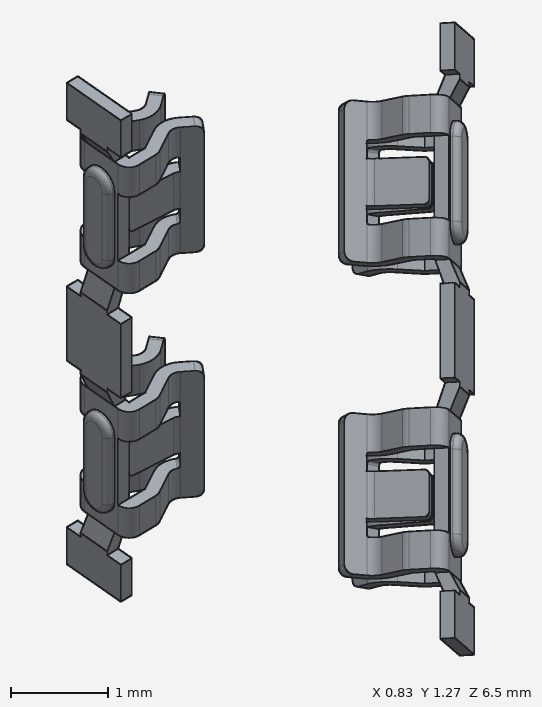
import cadquery as cq
import math

total_length = 6.5
strip_width = 0.82
total_depth = 1.27
sheet = 0.155

end_plate_length = 0.5
middle_plate_length = 1.0
neck_width = 0.4
neck_fold_drop = 0.05

clip_pitch = 3.3
clip_height = 1.7
web_offset = 0.105
web_inner_y = web_offset + sheet
web_half_width = strip_width / 2 - sheet
window_height = 0.9
window_corner_radius = 0.03

lower_bend_y = 0.49
waist_angle = 29.0
waist_length = 0.29
waist_radius = 0.14
flare_angle = 37.0
flare_corner_radius = 0.1

tab_angle = 5.0
tab_end_y = 0.33
tab_height = 0.5
tab_corner_radius = 0.05

bead_length = 1.3
bead_width = 0.4
bead_round = 0.08


def polar(center, radius, angle):
    """Point at a radius and an angle (degrees from +X) around a center in the XY plane."""
    turn = math.radians(angle)
    return (center[0] + radius * math.cos(turn), center[1] + radius * math.sin(turn))


lower_bend_center = (-web_half_width, lower_bend_y)
web_bend_center = (-web_half_width, web_inner_y)
waist_outer_start = polar(lower_bend_center, sheet, 180 - waist_angle)
waist_outer_end = polar(waist_outer_start, waist_length, 90 - waist_angle)
waist_center = polar(waist_outer_end, waist_radius, 180 - waist_angle)
waist_inner_radius = waist_radius + sheet


def plate(z_bottom, length):
    """Flat plate of full strip width, with its outer face at Y = 0."""
    panel = cq.Workplane("XY").box(strip_width, sheet, length, (True, False, False))
    return panel.translate((0, 0, z_bottom))


def neck(z_plate, z_clip):
    """Cranked link from the edge of a plate to the edge of a clip web."""
    fold_z = z_plate + math.copysign(neck_fold_drop, z_clip - z_plate)
    outline = [(0, z_plate), (sheet, z_plate), (web_inner_y, z_clip), (web_offset, z_clip), (0, fold_z)]
    return cq.Workplane("YZ").polyline(outline).close().extrude(neck_width / 2, both=True)


def web():
    """Flat panel between the two arms, set back from the plates."""
    panel = cq.Workplane("XY").box(2 * web_half_width, sheet, clip_height, (True, False, True))
    return panel.translate((0, web_offset, 0))


def bead():
    """Obround bead with a rounded rim, reaching from Y = 0 to the web."""
    body = cq.Workplane("XZ", origin=(0, web_offset, 0)).slot2D(bead_length, bead_width, 90).extrude(web_offset)
    return body.faces("<Y").edges().fillet(bead_round)


def arm_strip():
    """Curved arm from the web edge up to the root of the flare, over the full clip height."""
    web_bend_middle = 225
    return (
        cq.Workplane("XY")
        .moveTo(-web_half_width, web_offset)
        .threePointArc(polar(web_bend_center, sheet, web_bend_middle), (-strip_width / 2, web_inner_y))
        .lineTo(-strip_width / 2, lower_bend_y)
        .threePointArc(polar(lower_bend_center, sheet, 180 - waist_angle / 2), waist_outer_start)
        .lineTo(*waist_outer_end)
        .threePointArc(polar(waist_center, waist_radius, 0), polar(waist_center, waist_radius, flare_angle))
        .lineTo(*polar(waist_center, waist_inner_radius, flare_angle))
        .threePointArc(
            polar(waist_center, waist_inner_radius, 0),
            polar(waist_center, waist_inner_radius, -waist_angle),
        )
        .lineTo(*lower_bend_center)
        .lineTo(*web_bend_center)
        .close()
        .extrude(clip_height / 2, both=True)
    )


def arm_window():
    """Cutter for the arm opening, bounded by the web edge and by the root of the flare."""
    reach = strip_width
    return (
        cq.Workplane("XY")
        .moveTo(-web_half_width, 0)
        .lineTo(-reach, 0)
        .lineTo(*polar(waist_center, -reach, flare_angle))
        .lineTo(*polar(waist_center, waist_inner_radius + sheet, flare_angle))
        .lineTo(0, web_inner_y)
        .lineTo(-web_half_width, web_inner_y)
        .close()
        .extrude(window_height / 2, both=True)
    )


def blade(bend_angle, direction, length, height, corner_radius):
    """Flat sheet leaving the waist bend at bend_angle, with two rounded free corners.

    A direction of 1 runs toward +Y and -1 runs toward the web.
    """
    root = polar(waist_center, waist_radius, bend_angle)
    normal = cq.Vector(*polar((0, 0), 1, bend_angle), 0)
    along = cq.Vector(*polar((0, 0), 1, bend_angle + direction * 90), 0)
    plane = cq.Plane(origin=(*root, 0), xDir=along, normal=normal)
    body = cq.Workplane(plane).rect(length, height).extrude(sheet).translate(along * (length / 2))
    free_end = body.faces(cq.DirectionMinMaxSelector(along))
    return free_end.edges(cq.ParallelDirSelector(normal)).fillet(corner_radius)


def flare():
    """Lead-in blade that carries the arm to the full depth of the part."""
    root_y = polar(waist_center, waist_inner_radius, flare_angle)[1]
    length = (total_depth - root_y) / math.cos(math.radians(flare_angle))
    return blade(flare_angle, 1, length, clip_height, flare_corner_radius)


def tab():
    """Tab bent off the root of the flare and hanging toward the web."""
    middle_angle = (flare_angle + tab_angle) / 2
    root_bend = (
        cq.Workplane("XY")
        .moveTo(*polar(waist_center, waist_radius, flare_angle))
        .threePointArc(
            polar(waist_center, waist_radius, middle_angle),
            polar(waist_center, waist_radius, tab_angle),
        )
        .lineTo(*polar(waist_center, waist_inner_radius, tab_angle))
        .threePointArc(
            polar(waist_center, waist_inner_radius, middle_angle),
            polar(waist_center, waist_inner_radius, flare_angle),
        )
        .close()
        .extrude(tab_height / 2, both=True)
    )
    root_y = polar(waist_center, waist_radius, tab_angle)[1]
    length = (root_y - tab_end_y) / math.cos(math.radians(tab_angle))
    return root_bend.union(blade(tab_angle, -1, length, tab_height, tab_corner_radius))


def arm():
    """Left arm: two curved strips beside the window, joined by the flare that carries the tab."""
    flare_normal = cq.Vector(*polar((0, 0), 1, flare_angle), 0)
    flare_direction = cq.Vector(*polar((0, 0), 1, flare_angle + 90), 0)
    window = arm_window()
    window_top = window.faces(cq.DirectionMinMaxSelector(flare_direction))
    window = window_top.edges(cq.ParallelDirSelector(flare_normal)).fillet(window_corner_radius)
    return arm_strip().cut(window).union(flare()).union(tab())


def clip():
    """Spring clip centered on Z = 0."""
    left_arm = arm()
    return web().union(bead()).union(left_arm).union(left_arm.mirror("YZ"))


middle_z = total_length / 2
middle_plate_top = middle_z + middle_plate_length / 2
end_plate_bottom = total_length - end_plate_length
clip_center_z = middle_z + clip_pitch / 2

upper_half = (
    plate(end_plate_bottom, end_plate_length)
    .union(neck(end_plate_bottom, clip_center_z + clip_height / 2))
    .union(clip().translate((0, 0, clip_center_z)))
    .union(neck(middle_plate_top, clip_center_z - clip_height / 2))
)
middle_plate = plate(middle_z - middle_plate_length / 2, middle_plate_length)
result = middle_plate.union(upper_half).union(upper_half.mirror("XY", (0, 0, middle_z)))